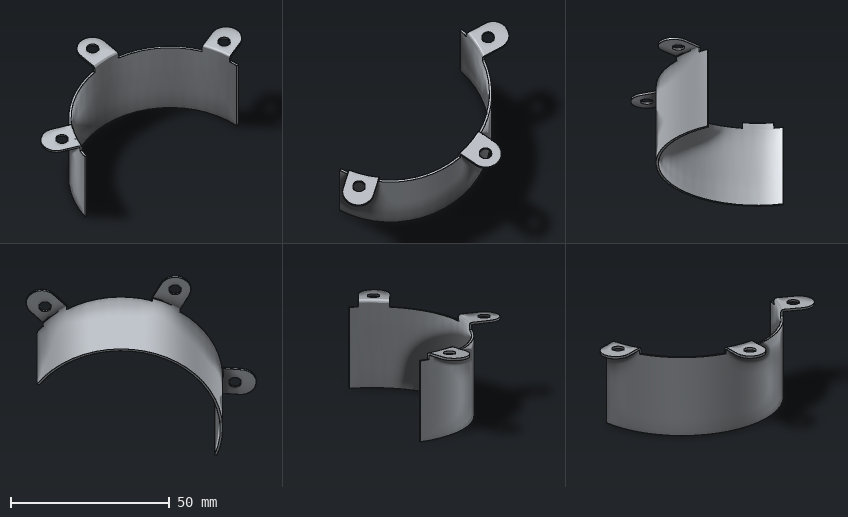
import cadquery as cq
import math

length_x = 38.7
length_y = 80.05
height = 28.9

outer_radius = 32.0
sheet = 0.8
inner_radius = outer_radius - sheet
tab_rise = 2.25
wall_height = height - tab_rise

tab_reach = 42.75
tab_width = 9.9
hole_diameter = 3.85
middle_hole_radius = 37.7
side_hole_radius = 36.0
side_hole_angle = 68.5
inner_bend = 0.2
outer_bend = inner_bend + sheet

tab_end_radius = tab_width / 2
tab_end_distance = tab_reach - tab_end_radius
side_angle = math.degrees(math.asin((length_y / 2 - tab_end_radius) / tab_end_distance))
wall_end_x = length_x - tab_reach


def make_wall():
    """Cylindrical wall trimmed by a plane parallel to YZ."""
    ring = cq.Workplane("XY").circle(outer_radius).circle(inner_radius).extrude(wall_height)
    trim_size = 2 * outer_radius
    trim = cq.Workplane("XY").box(trim_size, trim_size, height, centered=(False, True, False))
    return ring.cut(trim.translate((wall_end_x, 0, 0)))


def make_bent_flange():
    """Full ring with a neck, a rounded bend and a flat flange."""
    flange_bottom = height - sheet
    bend_radius = outer_radius + inner_bend
    bend_height = flange_bottom - inner_bend
    diagonal = math.sqrt(0.5)
    return (
        cq.Workplane("XZ")
        .moveTo(inner_radius, wall_height - sheet)
        .lineTo(inner_radius, bend_height)
        .threePointArc(
            (bend_radius - outer_bend * diagonal, bend_height + outer_bend * diagonal),
            (bend_radius, height),
        )
        .lineTo(tab_reach, height)
        .lineTo(tab_reach, flange_bottom)
        .lineTo(bend_radius, flange_bottom)
        .threePointArc(
            (bend_radius - inner_bend * diagonal, bend_height + inner_bend * diagonal),
            (outer_radius, bend_height),
        )
        .lineTo(outer_radius, wall_height - sheet)
        .close()
        .revolve(360, (0, 0, 0), (0, 1, 0))
    )


def turn_about_z(body, angle):
    return body.rotate((0, 0, 0), (0, 0, 1), angle)


def make_tab(flange, angle, hole_radius, hole_angle):
    """Round-ended tab pointing along -X, then turned about Z; its hole has its own angle."""
    half_width = tab_width / 2
    outline = (
        cq.Workplane("XY")
        .moveTo(0, half_width)
        .lineTo(-tab_end_distance, half_width)
        .threePointArc((-tab_reach, 0), (-tab_end_distance, -half_width))
        .lineTo(0, -half_width)
        .close()
        .extrude(height)
    )
    hole = cq.Workplane("XY").center(-hole_radius, 0).circle(hole_diameter / 2).extrude(height)
    tab = turn_about_z(flange.intersect(outline), angle)
    return tab.cut(turn_about_z(hole, hole_angle))


result = make_wall()
bent_flange = make_bent_flange()
tabs = [
    (0, middle_hole_radius, 0),
    (side_angle, side_hole_radius, side_hole_angle),
    (-side_angle, side_hole_radius, -side_hole_angle),
]
for tab_angle, tab_hole_radius, tab_hole_angle in tabs:
    result = result.union(make_tab(bent_flange, tab_angle, tab_hole_radius, tab_hole_angle))